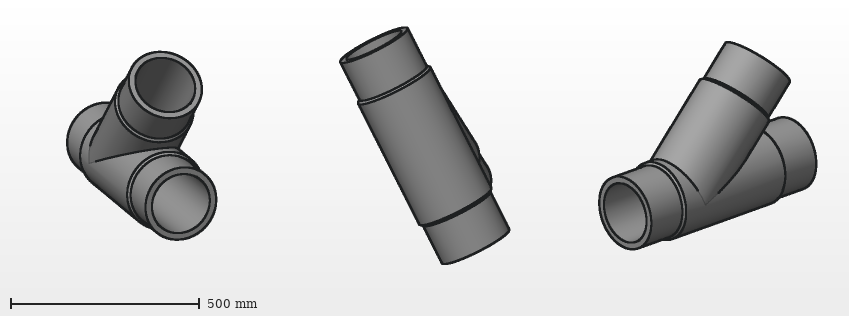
import cadquery as cq

run_length = 605.0
bore_diameter = 163.5
spigot_diameter = 200.0
body_diameter = 215.0
spigot_length = 114.0
branch_angle = 45.0
branch_length = 415.5
branch_offset = 111.5

body_chamfer = (body_diameter - spigot_diameter) / 2
body_length = run_length - 2 * spigot_length
branch_body_length = branch_length - spigot_length

run_start = cq.Plane(origin=(-run_length / 2, 0, 0), xDir=(0, 1, 0), normal=(1, 0, 0))
body_start = cq.Plane(origin=(-body_length / 2, 0, 0), xDir=(0, 1, 0), normal=(1, 0, 0))
branch_start = cq.Plane(origin=(-branch_offset, 0, 0), xDir=(0, 1, 0), normal=(1, 0, 0))
branch_start = branch_start.rotated((-branch_angle, 0, 0))


def cylinder(plane, diameter, length):
    return cq.Workplane(plane).circle(diameter / 2).extrude(length)


run_body = cylinder(body_start, body_diameter, body_length).edges("%CIRCLE").chamfer(body_chamfer)
run = cylinder(run_start, spigot_diameter, run_length).union(run_body)

branch_body = cylinder(branch_start, body_diameter, branch_body_length)
branch_body = branch_body.edges("%CIRCLE").edges(">Z").chamfer(body_chamfer)
branch = cylinder(branch_start, spigot_diameter, branch_length).union(branch_body)

run_bore = cylinder(run_start, bore_diameter, run_length)
branch_bore = cylinder(branch_start, bore_diameter, branch_length)

result = run.union(branch).cut(run_bore).cut(branch_bore)